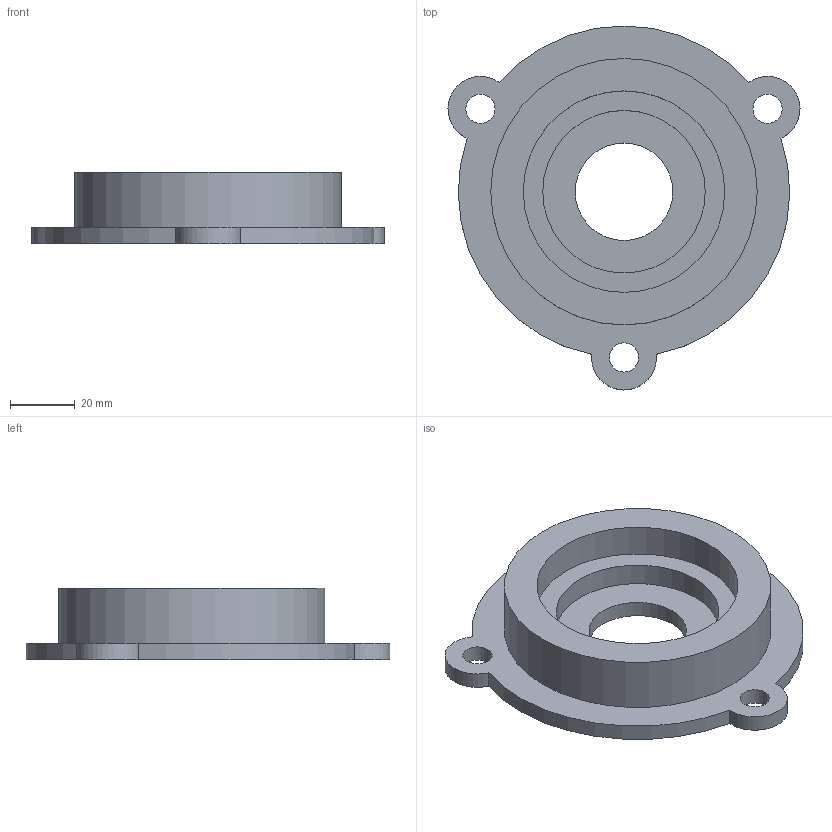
import cadquery as cq

flange_diameter = 102
flange_thickness = 5
lug_count = 3
lug_diameter = 20
lug_hole_diameter = 9
lug_circle_radius = flange_diameter / 2
first_lug_angle = -90

housing_diameter = 82
total_height = 22

upper_bore_diameter = 62
upper_bore_depth = 10
lower_bore_diameter = 50
lower_bore_depth = 7
through_bore_diameter = 30


def cylinder(diameter, bottom, top):
    """Cylinder on the main axis between two heights."""
    return cq.Workplane("XY").workplane(offset=bottom).circle(diameter / 2).extrude(top - bottom)


def at_lugs(diameter):
    """Flange-thick cylinders at the lug centres, the first one toward -Y."""
    return (
        cq.Workplane("XY")
        .polarArray(lug_circle_radius, first_lug_angle, 360, lug_count)
        .circle(diameter / 2)
        .extrude(flange_thickness)
    )


def make_body():
    """Round flange with lugs, carrying the cylindrical housing."""
    flange = cylinder(flange_diameter, 0, flange_thickness).union(at_lugs(lug_diameter))
    return flange.union(cylinder(housing_diameter, 0, total_height))


def make_stepped_bore():
    """Two counterbores opening at the top, over a through bore."""
    upper_floor = total_height - upper_bore_depth
    lower_floor = upper_floor - lower_bore_depth
    upper_bore = cylinder(upper_bore_diameter, upper_floor, total_height)
    lower_bore = cylinder(lower_bore_diameter, lower_floor, total_height)
    through_bore = cylinder(through_bore_diameter, 0, total_height)
    return upper_bore.union(lower_bore).union(through_bore)


result = make_body().cut(make_stepped_bore()).cut(at_lugs(lug_hole_diameter))